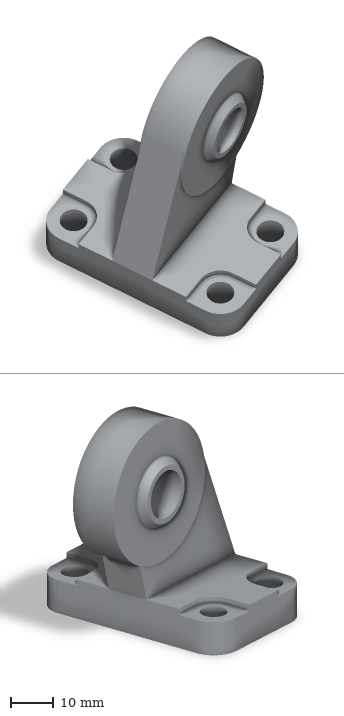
import cadquery as cq
import math

base_length = 54.0
base_width = 35.0
base_height = 10.0
hole_spacing_x = 41.0
hole_spacing_y = 22.05
hole_diameter = 6.6
corner_radius = (base_length - hole_spacing_x) / 2

seat_size = 12.0
seat_depth = 1.5
seat_radius = seat_size - corner_radius

eye_diameter = 36.0
eye_width = 12.0
eye_y = 13.0
eye_z = base_length - eye_diameter / 2

ring_width = 16.0
ring_diameter = 18.0
ring_end_diameter = 14.6
bore_diameter = 12.0

arm_width = 11.2
arm_back_top = (20.0, 19.45)


def cylinder_along_x(diameter, width):
    """Cylinder on the eye axis, symmetric about X = 0."""
    return (
        cq.Workplane("YZ", origin=(-width / 2, eye_y, eye_z))
        .circle(diameter / 2)
        .extrude(width)
    )


def make_base():
    base = (
        cq.Workplane("XY")
        .box(base_length, base_width, base_height, centered=(True, True, False))
        .edges("|Z")
        .fillet(corner_radius)
    )
    for side_x in (-1, 1):
        for side_y in (-1, 1):
            seat_x = side_x * (base_length - seat_size) / 2
            seat_y = side_y * (base_width - seat_size) / 2
            inner_corner = cq.selectors.NearestToPointSelector((0, 0, base_height))
            seat = (
                cq.Workplane("XY", origin=(seat_x, seat_y, base_height - seat_depth))
                .box(seat_size, seat_size, seat_depth, centered=(True, True, False))
                .edges("|Z")
                .edges(inner_corner)
                .fillet(seat_radius)
            )
            base = base.cut(seat)
    holes = (
        cq.Workplane("XY")
        .rect(hole_spacing_x, hole_spacing_y, forConstruction=True)
        .vertices()
        .circle(hole_diameter / 2)
        .extrude(base_height)
    )
    return base.cut(holes)


def front_tangent_point():
    """Y and Z where a line from the front top edge of the base touches the eye."""
    radius = eye_diameter / 2
    run = eye_y + base_width / 2
    rise = eye_z - base_height
    distance = math.hypot(run, rise)
    radius_angle = math.atan2(-rise, -run) - math.acos(radius / distance)
    return eye_y + radius * math.cos(radius_angle), eye_z + radius * math.sin(radius_angle)


def make_arm():
    return (
        cq.Workplane("YZ", origin=(-arm_width / 2, 0, 0))
        .polyline([
            (-base_width / 2, base_height),
            front_tangent_point(),
            (eye_y, eye_z),
            arm_back_top,
            (base_width / 2, base_height),
        ])
        .close()
        .extrude(arm_width)
    )


def make_ring():
    chamfer_length = (ring_width - eye_width) / 2
    chamfer_height = (ring_diameter - ring_end_diameter) / 2
    ring = cylinder_along_x(ring_diameter, ring_width)
    return ring.faces("<X or >X").chamfer(chamfer_length, chamfer_height)


eye = cylinder_along_x(eye_diameter, eye_width)
bore = cylinder_along_x(bore_diameter, ring_width)
result = make_base().union(make_arm()).union(eye).union(make_ring()).cut(bore)